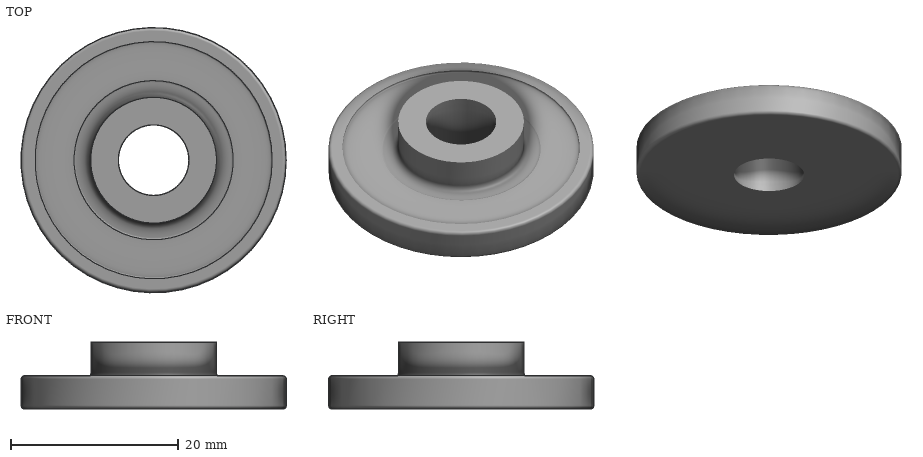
import cadquery as cq
import math

outer_radius = 15.85
rim_height = 4.0
total_height = 8.0
edge_fillet = 0.4

bore_radius = 4.2
hub_radius = 7.5
hub_fillet = 0.65
hub_floor_radius = 9.3
hub_flange_radius = 9.5
hub_floor_depth = 0.32

recess_radius = 14.17
recess_depth = 0.25
recess_fillet = 0.15

hub_floor_height = rim_height - hub_floor_depth
recess_floor_height = rim_height - recess_depth


def lip_midpoint():
    """Middle of the arc that leaves the hub floor tangentially and rises to the wheel recess."""
    run = hub_flange_radius - hub_floor_radius
    rise = recess_floor_height - hub_floor_height
    arc_radius = (run**2 + rise**2) / (2 * rise)
    half_angle = math.atan2(rise, run)
    return (
        hub_floor_radius + arc_radius * math.sin(half_angle),
        hub_floor_height + arc_radius * (1 - math.cos(half_angle)),
    )


def make_hub():
    """Bored hub with a filleted foot and a flange whose edge curls up to the wheel."""
    fillet_offset = hub_fillet * (1 - math.sqrt(0.5))
    profile = (
        cq.Workplane("XZ")
        .moveTo(bore_radius, 0)
        .lineTo(hub_flange_radius, 0)
        .lineTo(hub_flange_radius, recess_floor_height)
        .threePointArc(lip_midpoint(), (hub_floor_radius, hub_floor_height))
        .lineTo(hub_radius + hub_fillet, hub_floor_height)
        .threePointArc(
            (hub_radius + fillet_offset, hub_floor_height + fillet_offset),
            (hub_radius, hub_floor_height + hub_fillet),
        )
        .lineTo(hub_radius, total_height)
        .lineTo(bore_radius, total_height)
        .close()
    )
    return profile.revolve(360, (0, 0, 0), (0, 1, 0))


def make_wheel():
    """Ring around the hub flange, with rounded outer edges and a shallow top recess."""
    disc = cq.Workplane("XY").circle(outer_radius).extrude(rim_height).edges().fillet(edge_fillet)
    recess = (
        cq.Workplane("XY")
        .workplane(offset=recess_floor_height)
        .circle(recess_radius)
        .extrude(recess_depth)
        .faces("<Z")
        .edges()
        .fillet(recess_fillet)
    )
    hub_opening = cq.Workplane("XY").circle(hub_flange_radius).extrude(rim_height)
    return disc.cut(recess).cut(hub_opening)


hub = make_hub()
wheel = make_wheel()

result = cq.Compound.makeCompound([hub.val(), *wheel.vals()])